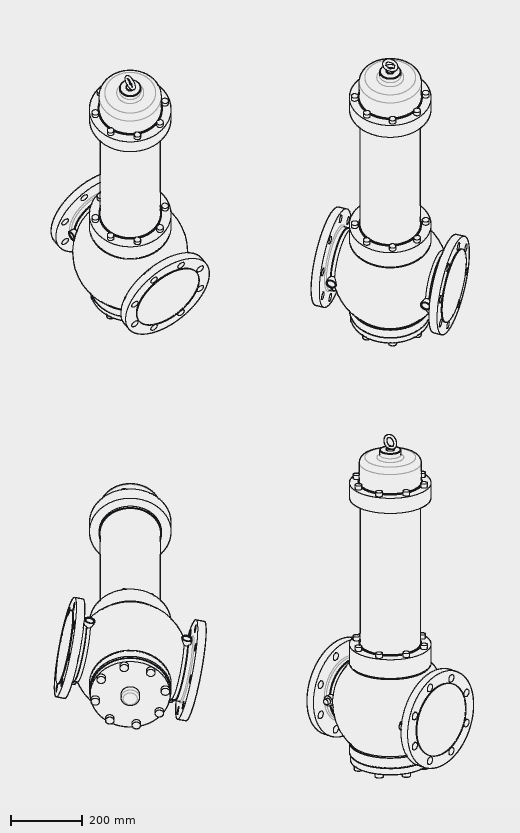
import cadquery as cq
import math


body_radius = 162.15
face_to_face = 380.0
raised_face_radius = 106.0
raised_face_height = 3.0
flange_radius = 142.5
flange_thickness = 24.5
flange_hole_diameter = 22.0
flange_hole_circle_radius = 120.0
neck_radius = 92.0
neck_fillet = 4.0
neck_step_height = 2.0
neck_step_x = 145.0

boss_x = 140.0
boss_radius = 15.0
boss_end_y = 104.5
boss_recess_radius = 12.0
boss_recess_depth = 2.0
side_plug_radius = 8.5
side_plug_height = 10.5

collar_radius = 115.0
collar_body_z = 121.0
collar_neck_radius = 112.0
top_collar_z = 179.0
bottom_collar_z = -151.0

cover_radius = 112.5
cover_top_z = -154.0
gasket_radius = 110.0
cover_z = -173.0
drain_plug_radius = 26.0
drain_plug_fillet = 6.0
bottom_z = -195.0

tube_radius = 85.0
base_rim_width = 3.0
base_rim_height = 3.0
upper_flange_bottom_z = 625.0
upper_flange_top_z = 671.0
tube_ring_radius = 88.0
tube_ring_height = 7.0

cap_radius = 87.5
cap_top_z = 748.0
cap_fillet = 16.0
knob_radius = 30.0
knob_top_z = 771.5
knob_chamfer = 2.0
knob_base_fillet = 8.0
eye_foot_radius = 11.5
eye_foot_height = 5.0
eye_tube_radius = 4.5
eye_ring_radius = 18.0
overall_height = 1012.0
eye_center_z = bottom_z + overall_height - eye_ring_radius - eye_tube_radius

bolt_count = 8
bolt_circle_radius = 100.0
bolt_head_height = 12.0
upper_bolt_radius = 9.5
bottom_bolt_radius = 12.0
half_pitch = 180.0 / bolt_count


def disc(radius, z_start, z_end):
    """Upright cylinder on the Z axis between two heights."""
    return cq.Workplane("XY").workplane(offset=z_start).circle(radius).extrude(z_end - z_start)


def ring_points(circle_radius):
    """Bolt positions on a circle, straddling both of its axes."""
    angles = [math.radians(half_pitch + 2 * half_pitch * i) for i in range(bolt_count)]
    return [(circle_radius * math.cos(a), circle_radius * math.sin(a)) for a in angles]


def bolt_heads(radius, z_start):
    """Ring of round bolt heads standing upward from a height."""
    heads = cq.Workplane("XY").workplane(offset=z_start)
    return heads.pushPoints(ring_points(bolt_circle_radius)).circle(radius).extrude(bolt_head_height)


def pipe_end():
    """Solid neck and flange on the +X side, turned about the X axis."""
    face_x = face_to_face / 2
    flange_front_x = face_x - raised_face_height
    flange_back_x = flange_front_x - flange_thickness
    small_radius = neck_radius - neck_step_height
    arc_shift = neck_fillet * (1 - math.sqrt(0.5))
    profile = (
        cq.Workplane("XY")
        .lineTo(0, small_radius)
        .lineTo(neck_step_x, small_radius)
        .lineTo(neck_step_x + neck_step_height, neck_radius)
        .lineTo(flange_back_x - neck_fillet, neck_radius)
        .threePointArc(
            (flange_back_x - arc_shift, neck_radius + arc_shift),
            (flange_back_x, neck_radius + neck_fillet),
        )
        .lineTo(flange_back_x, flange_radius)
        .lineTo(flange_front_x, flange_radius)
        .lineTo(flange_front_x, raised_face_radius)
        .lineTo(face_x, raised_face_radius)
        .lineTo(face_x, 0)
        .close()
    )
    end = profile.revolve(360, (0, 0, 0), (1, 0, 0))
    holes = (
        cq.Workplane("YZ")
        .workplane(offset=flange_back_x)
        .pushPoints(ring_points(flange_hole_circle_radius))
        .circle(flange_hole_diameter / 2)
        .extrude(flange_thickness)
    )
    return end.cut(holes)


def side_boss():
    """Boss through the +X neck along Y, recessed at its -Y end and plugged at its +Y end."""
    boss = (
        cq.Workplane("XZ")
        .center(boss_x, 0)
        .circle(boss_radius)
        .extrude(boss_end_y, both=True)
    )
    plug = (
        cq.Workplane("XZ")
        .workplane(offset=-boss_end_y)
        .center(boss_x, 0)
        .circle(side_plug_radius)
        .extrude(-side_plug_height)
    )
    recess = (
        cq.Workplane("XZ")
        .workplane(offset=boss_end_y - boss_recess_depth)
        .center(boss_x, 0)
        .circle(boss_recess_radius)
        .extrude(boss_recess_depth)
    )
    return boss.cut(recess).union(plug)


def valve_body():
    """Spherical body with collars, both pipe ends and the side bosses."""
    sphere = cq.Workplane("XY").sphere(body_radius)
    necks = disc(collar_neck_radius, -collar_body_z, collar_body_z)
    top_collar = disc(collar_radius, collar_body_z, top_collar_z)
    bottom_collar = disc(collar_radius, bottom_collar_z, -collar_body_z)
    collar_zone = disc(2 * body_radius, -collar_body_z, collar_body_z)
    body = sphere.intersect(collar_zone).union(necks).union(top_collar).union(bottom_collar)
    end = pipe_end().union(side_boss())
    return body.union(end).union(end.mirror("YZ"))


def bottom_cover():
    """Bolted cover under the body, with a gasket above it and a rounded drain plug."""
    gasket = disc(gasket_radius, cover_top_z, bottom_collar_z)
    cover = disc(cover_radius, cover_z, cover_top_z)
    plug = disc(drain_plug_radius, bottom_z, cover_z).faces("<Z").edges().fillet(drain_plug_fillet)
    bolts = bolt_heads(bottom_bolt_radius, cover_z - bolt_head_height)
    return gasket.union(cover).union(plug).union(bolts)


def column():
    """Tube between the top collar and the bolted upper flange."""
    tube = disc(tube_radius, top_collar_z, upper_flange_bottom_z)
    base = disc(tube_radius + base_rim_width, top_collar_z, top_collar_z + base_rim_height)
    ring = disc(tube_ring_radius, upper_flange_bottom_z - tube_ring_height, upper_flange_bottom_z)
    flange = disc(collar_radius, upper_flange_bottom_z, upper_flange_top_z)
    lower_bolts = bolt_heads(upper_bolt_radius, top_collar_z)
    upper_bolts = bolt_heads(upper_bolt_radius, upper_flange_top_z)
    return tube.union(base).union(ring).union(flange).union(lower_bolts).union(upper_bolts)


def cap():
    """Rounded cap on a low base rim, with a knob that flares into its top face."""
    dome = disc(cap_radius, upper_flange_top_z, cap_top_z).faces(">Z").edges().fillet(cap_fillet)
    base_top_z = upper_flange_top_z + base_rim_height
    base = disc(cap_radius + base_rim_width, upper_flange_top_z, base_top_z)
    flare_shift = knob_base_fillet * (1 - math.sqrt(0.5))
    knob = (
        cq.Workplane("XZ")
        .moveTo(0, cap_top_z)
        .lineTo(knob_radius + knob_base_fillet, cap_top_z)
        .threePointArc(
            (knob_radius + flare_shift, cap_top_z + flare_shift),
            (knob_radius, cap_top_z + knob_base_fillet),
        )
        .lineTo(knob_radius, knob_top_z - knob_chamfer)
        .lineTo(knob_radius - knob_chamfer, knob_top_z)
        .lineTo(0, knob_top_z)
        .close()
        .revolve(360, (0, 0, 0), (0, 1, 0))
    )
    return dome.union(base).union(knob)


def lifting_eye():
    """Ring in the XZ plane on a round foot."""
    foot = disc(eye_foot_radius, knob_top_z, knob_top_z + eye_foot_height)
    ring = cq.Workplane(
        cq.Solid.makeTorus(
            eye_ring_radius, eye_tube_radius, cq.Vector(0, 0, eye_center_z), cq.Vector(0, 1, 0)
        )
    )
    return foot.union(ring)


result = (
    valve_body()
    .union(bottom_cover())
    .union(column())
    .union(cap())
    .union(lifting_eye())
)